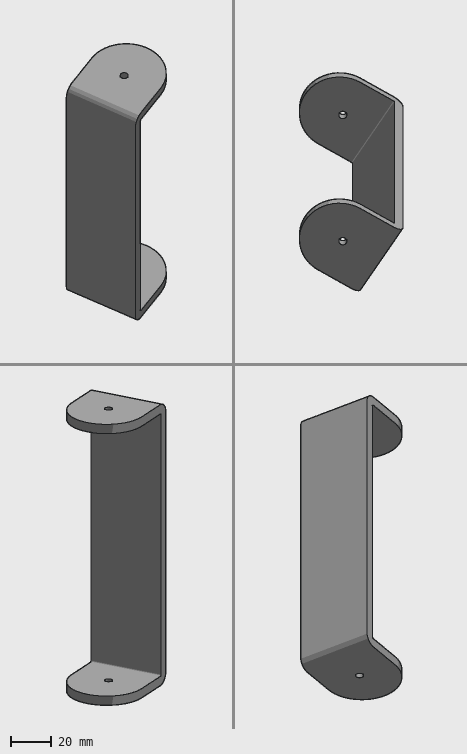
import cadquery as cq

width = 40.0
depth = 45.0
height = 150.4

thickness = 5.0
inner_bend_radius = 0.8
outer_bend_radius = inner_bend_radius + thickness

hole_diameter = 4.0
hole_from_back = 23.0

tip_radius = width / 2
back_y = -depth / 2
front_y = depth / 2
tip_center_y = front_y - tip_radius
hole_y = back_y + hole_from_back


def box_between(y_min, y_max, z_half_height):
    """Full-width block centred on X and Z, spanning y_min to y_max."""
    return (
        cq.Workplane("XY")
        .box(width, y_max - y_min, 2 * z_half_height)
        .translate((0, (y_min + y_max) / 2, 0))
    )


def bent_strip():
    """U-shaped strip: a web along the back with a flange at each end."""
    outer = box_between(back_y, front_y, height / 2)
    outer = outer.edges("|X and <Y").fillet(outer_bend_radius)
    inner = box_between(back_y + thickness, front_y, height / 2 - thickness)
    inner = inner.edges("|X and <Y").fillet(inner_bend_radius)
    return outer.cut(inner)


def flange_outline():
    """Full-height prism with the plan outline: straight sides and a round tip."""
    return (
        cq.Workplane("XY", origin=(0, 0, -height / 2))
        .moveTo(-width / 2, back_y)
        .lineTo(width / 2, back_y)
        .lineTo(width / 2, tip_center_y)
        .threePointArc((0, front_y), (-width / 2, tip_center_y))
        .close()
        .extrude(height)
    )


def screw_holes():
    """One vertical cylinder that pierces both flanges."""
    return (
        cq.Workplane("XY", origin=(0, hole_y, -height / 2))
        .circle(hole_diameter / 2)
        .extrude(height)
    )


result = bent_strip().intersect(flange_outline()).cut(screw_holes())